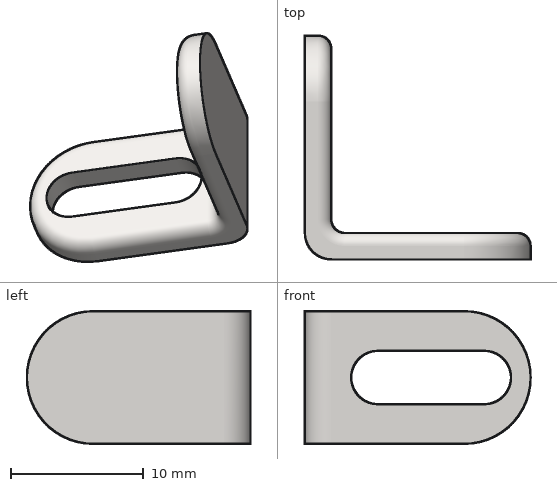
import cadquery as cq

length_x = 17.0
length_y = 16.85
width = 10.0
thickness = 2.0
outer_bend_radius = 2.0
inner_bend_radius = 1.0
edge_round = 1.0
slot_start = 3.5
slot_end = 15.5
slot_height = 4.0

tip_radius = width / 2


def bent_strip():
    """L-shaped strip, with its outer corner at the origin and centred on Z."""
    strip = (
        cq.Workplane("XY")
        .polyline([
            (0, 0),
            (length_x, 0),
            (length_x, thickness),
            (thickness, thickness),
            (thickness, length_y),
            (0, length_y),
        ])
        .close()
        .extrude(width / 2, both=True)
    )
    outer_corner = cq.selectors.NearestToPointSelector((0, 0, 0))
    inner_corner = cq.selectors.NearestToPointSelector((thickness, thickness, 0))
    strip = strip.edges(outer_corner).fillet(outer_bend_radius)
    return strip.edges(inner_corner).fillet(inner_bend_radius)


def round_ended_block(plane, length, depth):
    """Block from the origin along the plane's first axis, with a semicircular far end."""
    return (
        cq.Workplane(plane)
        .moveTo(0, -tip_radius)
        .lineTo(length - tip_radius, -tip_radius)
        .threePointArc((length, 0), (length - tip_radius, tip_radius))
        .lineTo(0, tip_radius)
        .close()
        .extrude(depth)
    )


x_leg_envelope = round_ended_block("XZ", length_x, -length_y)
y_leg_envelope = round_ended_block("YZ", length_y, length_x)
bracket = bent_strip().intersect(x_leg_envelope).intersect(y_leg_envelope)

inside_top_edge = cq.selectors.NearestToPointSelector((length_x / 2, thickness, width / 2))
bracket = bracket.edges(inside_top_edge).fillet(edge_round)

slot = (
    cq.Workplane("XZ")
    .center((slot_start + slot_end) / 2, 0)
    .slot2D(slot_end - slot_start, slot_height)
    .extrude(-thickness)
)

result = bracket.cut(slot)